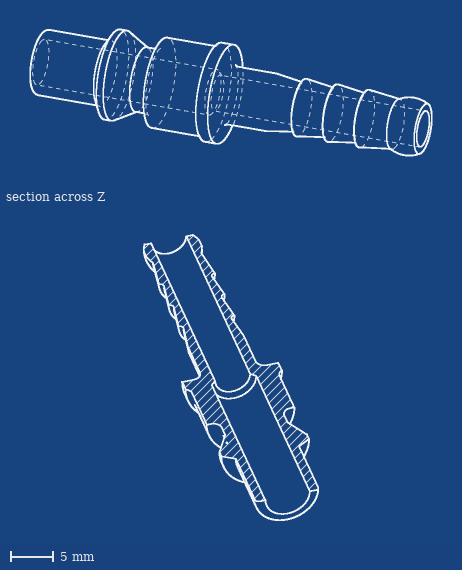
import cadquery as cq
import math

length = 48.5

bore_radius = 4.3 / 2
mouth_radius = 5.5 / 2
mouth_depth = 21.82
mouth_cone_length = mouth_radius - bore_radius

nose_radius = 7.9 / 2
nose_rounding = 0.5
nose_end = 8.2
collar_start = 9.1
collar_end = 10.0
body_radius = 10.9 / 2

neck_radius = 7.8 / 2
neck_start = 12.75
body_start = 15.1
shoulder_fillet = 1.0

flange_radius = 12.0 / 2
flange_start = 21.9
flange_end = 23.43
flange_fillet = 0.9

stem_radius = 7.0 / 2
stem_end = 29.25
barb_root_radius = 3.0
barb_pitch = 4.0
barb_count = 3
barb_relief = 0.4
last_barb_start = 41.05
first_barb_start = last_barb_start - (barb_count - 1) * barb_pitch

bulb_start = 45.0
bulb_center = (bulb_start + length) / 2
bulb_end_radius = math.sqrt(stem_radius**2 - (length - bulb_center) ** 2)

DIAGONAL = math.sqrt(0.5)


def fillet_up_to_wall(profile, wall_x, low_radius, fillet):
    """Run along a cylinder, then curve outward into a wall facing -X."""
    start_x = wall_x - fillet
    middle = (start_x + fillet * DIAGONAL, low_radius + fillet * (1 - DIAGONAL))
    profile = profile.lineTo(start_x, low_radius)
    return profile.threePointArc(middle, (wall_x, low_radius + fillet))


def add_nose_and_collar(profile):
    inset = nose_rounding * (1 - DIAGONAL)
    return (
        profile.lineTo(0, nose_radius - nose_rounding)
        .threePointArc((inset, nose_radius - inset), (nose_rounding, nose_radius))
        .lineTo(nose_end, nose_radius)
        .lineTo(collar_start, body_radius)
        .lineTo(collar_end, body_radius)
        .lineTo(neck_start, neck_radius)
    )


def add_body_and_flange(profile):
    profile = fillet_up_to_wall(profile, body_start, neck_radius, shoulder_fillet)
    profile = profile.lineTo(body_start, body_radius)

    rise = flange_radius - body_radius
    full_angle = math.acos(1 - rise / flange_fillet)
    fillet_start = flange_start - flange_fillet * math.sin(full_angle)
    middle = (
        fillet_start + flange_fillet * math.sin(full_angle / 2),
        body_radius + flange_fillet * (1 - math.cos(full_angle / 2)),
    )
    profile = profile.lineTo(fillet_start, body_radius)
    profile = profile.threePointArc(middle, (flange_start, flange_radius))

    inset = shoulder_fillet * (1 - DIAGONAL)
    return (
        profile.lineTo(flange_end, flange_radius)
        .lineTo(flange_end, stem_radius + shoulder_fillet)
        .threePointArc(
            (flange_end + inset, stem_radius + inset),
            (flange_end + shoulder_fillet, stem_radius),
        )
        .lineTo(stem_end, stem_radius)
    )


def add_barbs_and_bulb(profile):
    for index in range(barb_count):
        barb_start = first_barb_start + index * barb_pitch
        profile = fillet_up_to_wall(profile, barb_start, barb_root_radius, barb_relief)
        profile = profile.lineTo(barb_start, stem_radius)
    return profile.lineTo(bulb_start, bulb_end_radius).threePointArc(
        (bulb_center, stem_radius), (length, bulb_end_radius)
    )


outline = cq.Workplane("XY").moveTo(0, mouth_radius)
outline = add_nose_and_collar(outline)
outline = add_body_and_flange(outline)
outline = add_barbs_and_bulb(outline)

outline = (
    outline.lineTo(length, bore_radius)
    .lineTo(mouth_depth + mouth_cone_length, bore_radius)
    .lineTo(mouth_depth, mouth_radius)
    .close()
)

result = outline.revolve(360, (0, 0, 0), (1, 0, 0))